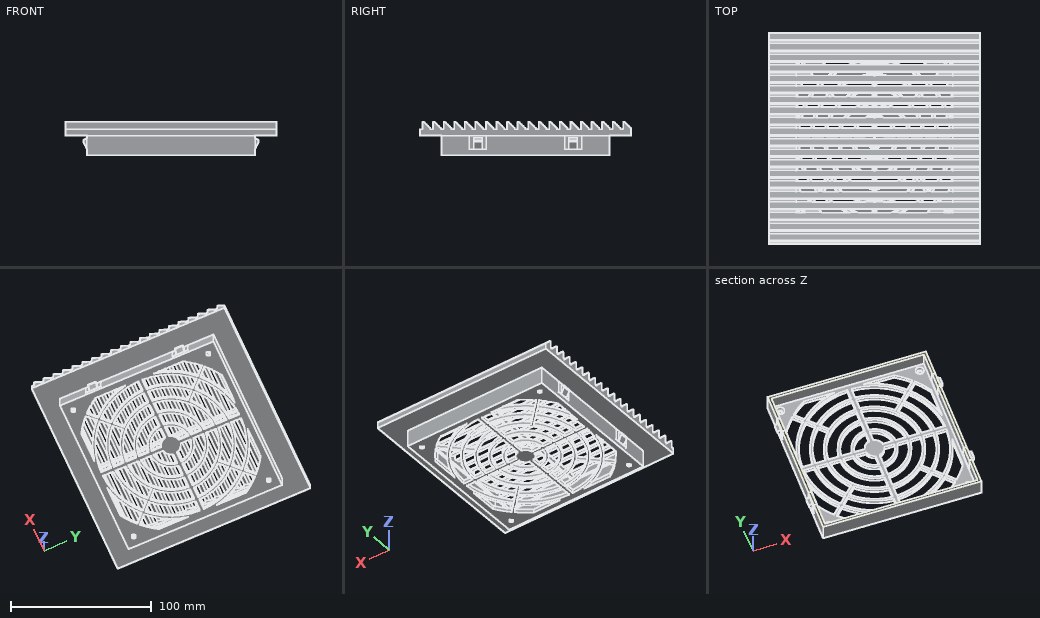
import cadquery as cq
import math

cover_side = 150.0
total_height = 24.0
frame_height = 14.0
frame_side = 119.4
window_side = 111.4
half_cover = cover_side / 2
half_frame = frame_side / 2
half_window = window_side / 2
wall = 2.5
half_inner = half_frame - wall

tooth_count = 20
pitch = cover_side / tooth_count
trough_z = 18.6
slope_foot_z = 19.25
slope_run = total_height - slope_foot_z
peak_run = 0.95
peak_radius = 0.5
toe_radius = 0.5
blade_back_z = 22.0

rib_width = 1.0
rib_top = trough_z
rib_bottom = frame_height

leg_width = 12.0
leg_bottom = 4.4
leg_offset = 33.8
hook_width = 6.0
hook_reach = 2.6
hook_top = 12.4
hook_tip_top = 10.9
hook_tip_bottom = 9.6

guard_thickness = 3.0
floor_opening_side = 109.2
floor_opening_radius = 64.3
ring_count = 5
ring_width = 2.0
first_ring_radius = 15.5
ring_pitch = 9.8
hub_radius = 7.0
spoke_width = 3.1
diagonal_width = 2.0
diagonal_start = first_ring_radius + 2 * ring_pitch
diagonal_angles = (45, 135, 225, 315)

screw_offset = 52.5
screw_diameter = 3.0
screw_head_diameter = 6.0


def box(x0, x1, y0, y1, z0, z1):
    """Axis-aligned block between the given limits."""
    block = cq.Workplane("XY").box(x1 - x0, y1 - y0, z1 - z0, centered=False)
    return block.translate((x0, y0, z0))


def extrude_along_x(outline, length):
    """Extrude a closed (Y, Z) outline along X, centred on X = 0."""
    return outline.close().extrude(length / 2, both=True)


def quarter_round(outline, start, corner, end):
    """Add a quarter arc from start to end that replaces the sharp corner between them."""
    middle = []
    for first, sharp, last in zip(start, corner, end):
        centre = first + last - sharp
        middle.append(centre + (sharp - centre) * math.sqrt(0.5))
    return outline.threePointArc(tuple(middle), end)


def tooth_start(index):
    """Y of the foot of a tooth's slope, counted from the +Y edge."""
    return half_cover - index * pitch


def back_y(index):
    """Y of the upright back of a tooth."""
    return tooth_start(index) - slope_run - peak_run


def draw_tooth_crest(outline, index):
    """Add a tooth's slope and rounded peak, ending at the top of its upright back."""
    foot = tooth_start(index)
    back = back_y(index)
    outline = outline.lineTo(foot, slope_foot_z).lineTo(foot - slope_run, total_height)
    outline = outline.lineTo(back + peak_radius, total_height)
    return quarter_round(
        outline,
        start=(back + peak_radius, total_height),
        corner=(back, total_height),
        end=(back, total_height - peak_radius),
    )


def make_toothed_plate():
    """Full cover plate with the row of teeth along its top."""
    outline = cq.Workplane("YZ").moveTo(half_cover, frame_height)
    for index in range(tooth_count):
        back = back_y(index)
        outline = draw_tooth_crest(outline, index).lineTo(back, trough_z + toe_radius)
        outline = quarter_round(
            outline,
            start=(back, trough_z + toe_radius),
            corner=(back, trough_z),
            end=(back - toe_radius, trough_z),
        )
        outline = outline.lineTo(tooth_start(index + 1), trough_z)
    outline = outline.lineTo(-half_cover, frame_height)
    return extrude_along_x(outline, cover_side)


def make_blades():
    """Thin sloping louvre blades, trimmed to the window."""
    blades = []
    window = box(-half_window, half_window, -half_window, half_window, frame_height, total_height)
    for index in range(tooth_count):
        foot = tooth_start(index)
        back = back_y(index)
        if back > half_window or foot < -half_window:
            continue
        outline = cq.Workplane("YZ").moveTo(foot, trough_z)
        outline = draw_tooth_crest(outline, index).lineTo(back, blade_back_z)
        outline = outline.lineTo(back + blade_back_z - trough_z, trough_z)
        blades.append(extrude_along_x(outline, window_side).intersect(window))
    return blades


def make_leg(side, y):
    """Leg with a snap hook, on the +X (side = 1) or -X (side = -1) wall."""
    leg = box(half_inner, half_frame, -leg_width / 2, leg_width / 2, leg_bottom, frame_height)
    hook = (
        cq.Workplane("XZ")
        .polyline(
            [
                (half_frame, hook_top),
                (half_frame + hook_reach, hook_tip_top),
                (half_frame + hook_reach, hook_tip_bottom),
                (half_frame, leg_bottom),
            ]
        )
        .close()
        .extrude(hook_width / 2, both=True)
    )
    leg = leg.union(hook)
    if side < 0:
        leg = leg.mirror("YZ")
    return leg.translate((0, y, 0))


def make_cover():
    """Louvred cover with its window, blades, rib and clip legs."""
    cover = make_toothed_plate()
    cover = cover.cut(
        box(-half_window, half_window, -half_window, half_window, frame_height, total_height)
    )
    for blade in make_blades():
        cover = cover.union(blade)
    cover = cover.union(
        box(-rib_width / 2, rib_width / 2, -half_window, half_window, rib_bottom, rib_top)
    )
    for side in (-1, 1):
        for y in (-leg_offset, leg_offset):
            cover = cover.union(make_leg(side, y))
    return cover


def disc(radius):
    """Round plate as thick as the guard."""
    return cq.Workplane("XY").circle(radius).extrude(guard_thickness)


def make_guard():
    """Hub, rings and spokes that fill the floor opening."""
    guard = disc(hub_radius)
    for index in range(ring_count):
        radius = first_ring_radius + index * ring_pitch
        guard = guard.union(disc(radius + ring_width / 2).cut(disc(radius - ring_width / 2)))
    half_spoke = spoke_width / 2
    guard = guard.union(box(-half_frame, half_frame, -half_spoke, half_spoke, 0, guard_thickness))
    guard = guard.union(box(-half_spoke, half_spoke, -half_frame, half_frame, 0, guard_thickness))
    diagonal = box(
        diagonal_start, floor_opening_radius + ring_width,
        -diagonal_width / 2, diagonal_width / 2, 0, guard_thickness,
    )
    for angle in diagonal_angles:
        guard = guard.union(diagonal.rotate((0, 0, 0), (0, 0, 1), angle))
    return guard


def cut_screw_holes(frame):
    """Countersunk holes in the four corners of the floor."""
    frame = (
        frame.faces("<Z").workplane(origin=(0, 0, guard_thickness), offset=-guard_thickness)
        .rect(2 * screw_offset, 2 * screw_offset, forConstruction=True)
        .vertices()
        .circle(screw_diameter / 2).cutThruAll()
    )
    cone_depth = (screw_head_diameter - screw_diameter) / 2
    for x in (-screw_offset, screw_offset):
        for y in (-screw_offset, screw_offset):
            cone = cq.Solid.makeCone(
                screw_diameter / 2, screw_head_diameter / 2, cone_depth,
                pnt=cq.Vector(x, y, guard_thickness - cone_depth),
            )
            frame = frame.cut(cq.Workplane(cone))
    return frame


def cut_leg_notches(frame):
    """Notches in the side walls that take the clip legs."""
    for x in (-half_frame, half_inner):
        for y in (-leg_offset, leg_offset):
            frame = frame.cut(
                box(x, x + wall, y - leg_width / 2, y + leg_width / 2, leg_bottom, frame_height)
            )
    return frame


def make_frame():
    """Open-topped square frame with the guard in its floor."""
    frame = box(-half_frame, half_frame, -half_frame, half_frame, 0, frame_height)
    frame = frame.cut(
        box(-half_inner, half_inner, -half_inner, half_inner, guard_thickness, frame_height)
    )
    half_opening = floor_opening_side / 2
    opening = box(-half_opening, half_opening, -half_opening, half_opening, 0, guard_thickness)
    opening = opening.intersect(disc(floor_opening_radius))
    frame = frame.cut(opening.cut(make_guard()))
    frame = cut_screw_holes(frame)
    return cut_leg_notches(frame)


cover = make_cover()
frame = make_frame()
result = cq.Compound.makeCompound([cover.val(), frame.val()])